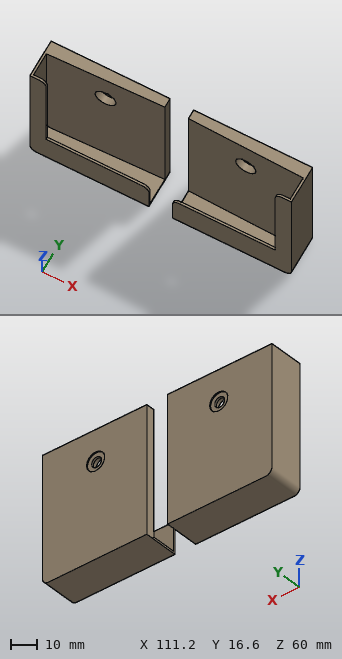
import cadquery as cq

total_width = 111.2
gap = 10.0
depth = 16.6
height = 60.0
wall = 1.0

outer_radius = 3.0
inner_radius = outer_radius - wall
lip_radius = 3.0

plate_thin = 4.1
plate_thick = 5.6

side_lip_width = 6.9
bottom_lip_height = 14.5

screw_from_side = 25.8
screw_from_top = 14.8
screw_diameter = 4.7
head_diameter = 8.7
head_floor = 1.6
relief_depth = 0.6

outer_x = total_width / 2
inner_x = gap / 2
body_width = outer_x - inner_x
cavity_side = outer_x - wall
lip_edge = outer_x - side_lip_width
lip_back = wall - depth
front = -depth


def tray_block():
    """Solid envelope with the lower outer corner rounded."""
    block = cq.Workplane("XY").box(body_width, depth, height, centered=False)
    block = block.translate((inner_x, front, 0))
    return block.edges("|Y and >X and <Z").fillet(outer_radius)


def cavity():
    """Space between the tapered plate and the lips, open at the top and towards the gap."""
    space = (
        cq.Workplane("XY")
        .polyline([
            (inner_x, lip_back),
            (cavity_side, lip_back),
            (cavity_side, -plate_thick),
            (inner_x, -plate_thin),
        ])
        .close()
        .extrude(height - wall)
        .translate((0, 0, wall))
    )
    return space.edges(">X and <Z").edges("|Y").fillet(inner_radius)


def lip_opening():
    """Front cut-out that leaves an L-shaped lip with rounded free ends."""
    return (
        cq.Workplane("XZ", origin=(0, lip_back, 0))
        .moveTo(inner_x, height)
        .lineTo(inner_x, bottom_lip_height - lip_radius)
        .radiusArc((inner_x + lip_radius, bottom_lip_height), lip_radius)
        .lineTo(lip_edge, bottom_lip_height)
        .lineTo(lip_edge, height - lip_radius)
        .radiusArc((lip_edge + lip_radius, height), lip_radius)
        .close()
        .extrude(wall)
    )


def screw_hole():
    """Through hole with a deep counterbore in front and a shallow relief at the back."""
    center_x = outer_x - screw_from_side
    center_z = height - screw_from_top
    shank = (
        cq.Workplane("XZ", origin=(center_x, 0, center_z))
        .circle(screw_diameter / 2)
        .extrude(plate_thick)
    )
    head = (
        cq.Workplane("XZ", origin=(center_x, -head_floor, center_z))
        .circle(head_diameter / 2)
        .extrude(plate_thick - head_floor)
    )
    relief = (
        cq.Workplane("XZ", origin=(center_x, 0, center_z))
        .circle(head_diameter / 2)
        .extrude(relief_depth)
    )
    return shank.union(head).union(relief)


def right_holder():
    return tray_block().cut(cavity()).cut(lip_opening()).cut(screw_hole())


holder_right = right_holder()
holder_left = holder_right.mirror("YZ")

result = cq.Compound.makeCompound([holder_left.val(), holder_right.val()])